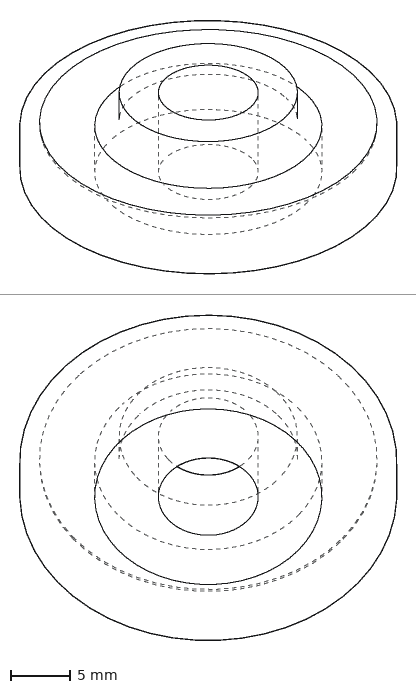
import cadquery as cq
import math

ring_height = 5.0
ring_radius = 31.75 / 2
ring_edge_fillet = 0.4

shield_height = 4.65
rim_inner_radius = 14.2
rim_root_fillet = 0.15
shield_inner_radius = 9.56

overall_height = 8.0
flange_height = 4.6
hub_radius = 7.5
hub_root_fillet = 0.68
bore_radius = 8.4 / 2

flange_edge_width = 0.23
flange_edge_rise = shield_height - flange_height
flange_edge_arc_radius = (flange_edge_width**2 + flange_edge_rise**2) / (2 * flange_edge_rise)


def make_ring():
    """Outer ring: rounded outer edges, a recessed shield face and a hole for the hub flange."""
    ring = cq.Workplane("XY").circle(ring_radius).extrude(ring_height)
    ring = ring.edges().fillet(ring_edge_fillet)

    recess = cq.Workplane("XY").workplane(offset=shield_height)
    recess = recess.circle(rim_inner_radius).extrude(ring_height - shield_height)
    recess = recess.faces("<Z").edges().fillet(rim_root_fillet)

    flange_hole = cq.Workplane("XY").circle(shield_inner_radius).extrude(ring_height)
    return ring.cut(recess).cut(flange_hole)


def make_hub():
    """Bored hub: a flange with a slightly raised concave edge, and a boss with a root fillet."""
    arc_middle_angle = math.asin(flange_edge_width / flange_edge_arc_radius) / 2
    edge_start_radius = shield_inner_radius - flange_edge_width
    edge_middle = (
        edge_start_radius + flange_edge_arc_radius * math.sin(arc_middle_angle),
        flange_height + flange_edge_arc_radius * (1 - math.cos(arc_middle_angle)),
    )
    root_fillet_top = (hub_radius, flange_height + hub_root_fillet)

    profile = (
        cq.Workplane("XZ")
        .moveTo(bore_radius, 0)
        .lineTo(shield_inner_radius, 0)
        .lineTo(shield_inner_radius, shield_height)
        .threePointArc(edge_middle, (edge_start_radius, flange_height))
        .lineTo(hub_radius + hub_root_fillet, flange_height)
        .radiusArc(root_fillet_top, hub_root_fillet)
        .lineTo(hub_radius, overall_height)
        .lineTo(bore_radius, overall_height)
        .close()
    )
    return profile.revolve(360, (0, 0, 0), (0, 1, 0))


ring = make_ring()
hub = make_hub()

result = cq.Compound.makeCompound([ring.val(), hub.val()])